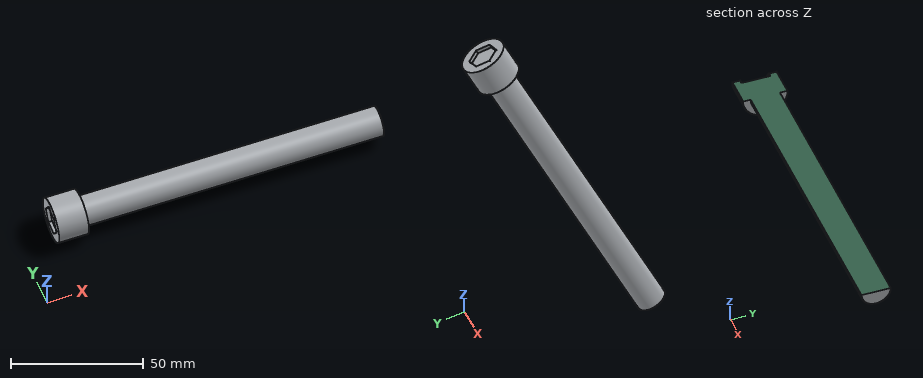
import cadquery as cq
import math

thread_diameter = 12.0
shank_length = 120.0
head_diameter = 1.5 * thread_diameter
head_height = thread_diameter
socket_across_flats = 10.0
socket_depth = 1.5
tip_chamfer = 0.2


def make_head():
    """Cylindrical head, extending to -X from the bearing face."""
    return cq.Workplane("YZ").circle(head_diameter / 2).extrude(-head_height)


def make_shank():
    """Shank along +X with a chamfered tip."""
    shank = cq.Workplane("YZ").circle(thread_diameter / 2).extrude(shank_length)
    return shank.faces(">X").chamfer(tip_chamfer)


def make_socket():
    """Hexagonal key socket in the head, with its corners pointing along Y."""
    across_corners = socket_across_flats / math.cos(math.pi / 6)
    return (
        cq.Workplane("YZ", origin=(-head_height, 0, 0))
        .polygon(6, across_corners)
        .extrude(socket_depth)
    )


result = make_head().union(make_shank()).cut(make_socket())